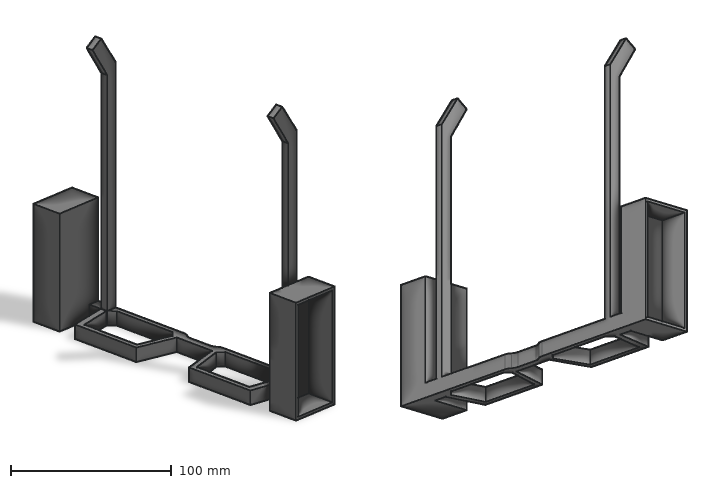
import cadquery as cq
import math

total_width = 224.5
frame_depth = 36.8
frame_height = 9.9
back_y = frame_depth / 2
front_y = -back_y

box_width = 22.5
box_depth = 35.0
box_height = 80.0
box_wall = 2.0

bar_overlap = 0.5
bar_depth = 8.0
bridge_recess = 3.0
shoulder_middle_x = 12.5
shoulder_radius = 7.6
shoulder_angle = math.acos(1 - bridge_recess / (2 * shoulder_radius))
shoulder_half_width = shoulder_radius * math.sin(shoulder_angle)

rim_inner_back_x = 15.0
rim_inner_front_x = 22.5
rim_outer_front_x = 75.0
rim_outer_back_x = 80.1

rim_wall = 3.8
opening_back_y = back_y - rim_wall
opening_corner_y = back_y - bar_depth
opening_front_y = front_y + rim_wall
opening_inner_corner_x = 18.6
opening_inner_back_x = 22.5
opening_outer_back_x = 70.5
opening_outer_corner_x = 75.2
opening_inner_front_x = 25.5
opening_outer_front_x = 70.5

temple_outer_x = 80.0
temple_width = 5.2
temple_depth = 7.9
temple_height = 196.2
bend_back_z = 176.0
bend_front_z = 169.7
tip_back_offset = 13.2
tip_front_offset = 21.0
tip_front_z = 190.8


def make_half_frame():
    """Bar, half bridge and lens rim on the -X side."""
    bar_end_x = total_width / 2 - box_width + bar_overlap
    bridge_y = back_y - bridge_recess
    shoulder_middle = (-shoulder_middle_x, back_y - bridge_recess / 2)
    shoulder_top = (-shoulder_middle_x - shoulder_half_width, back_y)
    outline = [
        (-bar_end_x, back_y),
        (-bar_end_x, back_y - bar_depth),
        (-rim_outer_back_x, back_y - bar_depth),
        (-rim_outer_front_x, front_y),
        (-rim_inner_front_x, front_y),
        (-rim_inner_back_x, back_y - bar_depth),
        (0, back_y - bar_depth),
    ]
    opening = [
        (-opening_inner_back_x, opening_back_y),
        (-opening_outer_back_x, opening_back_y),
        (-opening_outer_corner_x, opening_corner_y),
        (-opening_outer_front_x, opening_front_y),
        (-opening_inner_front_x, opening_front_y),
        (-opening_inner_corner_x, opening_corner_y),
    ]
    frame = (
        cq.Workplane("XY")
        .moveTo(0, bridge_y)
        .lineTo(-shoulder_middle_x + shoulder_half_width, bridge_y)
        .tangentArcPoint(shoulder_middle, relative=False)
        .tangentArcPoint(shoulder_top, relative=False)
        .polyline(outline, includeCurrent=True)
        .close()
        .extrude(frame_height)
    )
    lens_hole = cq.Workplane("XY").polyline(opening).close().extrude(frame_height)
    return frame.cut(lens_hole)


def make_temple():
    """Upright arm with a bent tip on the -X side."""
    profile = [
        (back_y, 0),
        (back_y, bend_back_z),
        (back_y - tip_back_offset, temple_height),
        (back_y - tip_front_offset, tip_front_z),
        (back_y - temple_depth, bend_front_z),
        (back_y - temple_depth, 0),
    ]
    arm = cq.Workplane("YZ").polyline(profile).close().extrude(temple_width)
    return arm.translate((-temple_outer_x, 0, 0))


def make_box():
    """Box on the -X side with a pocket in its outer face."""
    corner = (-total_width / 2, back_y - box_depth, 0)
    box = cq.Workplane("XY").box(box_width, box_depth, box_height, centered=False)
    pocket = cq.Workplane("XY").box(
        box_width - box_wall,
        box_depth - 2 * box_wall,
        box_height - 2 * box_wall,
        centered=False,
    )
    return box.cut(pocket.translate((0, box_wall, box_wall))).translate(corner)


half = make_half_frame().union(make_temple()).union(make_box())
result = half.union(half.mirror("YZ")).clean()